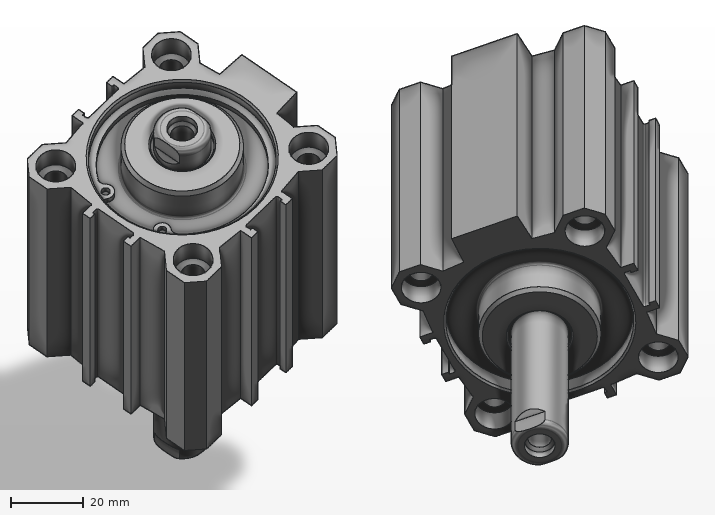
import cadquery as cq
import math


OVERALL_LENGTH = 146.5
HOUSING_HEIGHT = 79.4
ROD_PROTRUSION = 13.5
ROD_TOP = HOUSING_HEIGHT + ROD_PROTRUSION
ROD_BOTTOM = ROD_TOP - OVERALL_LENGTH
MID_HEIGHT = HOUSING_HEIGHT / 2

HALF_WIDTH = 32.5
LUG_CHAMFER = 4.4
LUG_INNER_EDGE = 21.7
WALL_CORNER = (17.0, 27.8)
WALL_MIDDLE = 28.5

PORT_FACE = 37.5
PORT_HALF_TOP = 10.0
PORT_HALF_BASE = 10.4

RAIL_OUTER = 8.8
RAIL_STEM_INNER = 6.7
RAIL_LIP_INNER = 6.0
RAIL_LIP_THICKNESS = 2.0
RAIL_ROOT_RADIUS = 0.6

BORE_DIAMETER = 52.2
BORE_CHAMFER = 0.6
BOLT_OFFSET = 24.9
BOLT_DIAMETER = 6.7
BOLT_HEAD_DIAMETER = 11.0
BOLT_HEAD_DEPTH = 7.0

COVER_RECESS = 5.1
FLANGE_THICKNESS = 11.7
BOSS_DIAMETER = 34.0
BOSS_PROTRUSION = 6.0
BOSS_CHAMFER = 1.0
BOSS_ROOT_RADIUS = 0.7
MOUTH_DIAMETER = 17.7
MOUTH_DEPTH = 1.5
MOUTH_CHAMFER = 0.5

RING_THICKNESS = 1.8
RING_INNER_RADIUS = 23.9
RING_GAP_HALF_ANGLE = 20.5
EAR_X = 10.3
EAR_Y = -20.8
EAR_RADIUS = 2.5
EAR_HOLE_DIAMETER = 2.5
EAR_BLEND_RADIUS = 2.0

ROD_DIAMETER = 16.0
ROD_END_RADIUS = 1.9
FLAT_WIDTH = 13.2
FLAT_LENGTH = 5.4
SOCKET_MOUTH_DIAMETER = 8.5
SOCKET_MOUTH_DEPTH = 2.3
SOCKET_DIAMETER = 6.6
SOCKET_DEPTH = 14.6
DRILL_HALF_ANGLE = 82.0


def mirrored(body):
    """The same shape at the other end of the housing."""
    return body.mirror("XY", (0, 0, MID_HEIGHT))


def housing_profile():
    """Square tube outline: four octagonal lugs joined by slightly crowned walls."""
    lug_outer_edge = HALF_WIDTH - LUG_CHAMFER
    half_side = [
        (lug_outer_edge, HALF_WIDTH),
        (LUG_INNER_EDGE, HALF_WIDTH),
        WALL_CORNER,
        (RAIL_OUTER, WALL_MIDDLE),
    ]
    side = [(-along, out) for along, out in half_side] + half_side[::-1]
    outline = []
    for quarter in range(4):
        cosine = round(math.cos(quarter * math.pi / 2))
        sine = round(math.sin(quarter * math.pi / 2))
        outline += [(along * cosine + out * sine, out * cosine - along * sine) for along, out in side]
    return cq.Workplane("XY").polyline(outline).close().extrude(HOUSING_HEIGHT)


def port_block():
    """Slightly tapered block along the whole +Y wall."""
    outline = [
        (-PORT_HALF_BASE, 0),
        (-PORT_HALF_BASE, WALL_CORNER[1]),
        (-PORT_HALF_TOP, PORT_FACE),
        (PORT_HALF_TOP, PORT_FACE),
        (PORT_HALF_BASE, WALL_CORNER[1]),
        (PORT_HALF_BASE, 0),
    ]
    return cq.Workplane("XY").polyline(outline).close().extrude(HOUSING_HEIGHT)


def rail():
    """One hooked strip on the -Y wall, with its lip turned towards the middle of the wall."""
    lip_start = HALF_WIDTH - RAIL_LIP_THICKNESS
    return (
        cq.Workplane("XY")
        .moveTo(RAIL_OUTER, -WALL_CORNER[1])
        .lineTo(RAIL_OUTER, -HALF_WIDTH)
        .lineTo(RAIL_LIP_INNER, -HALF_WIDTH)
        .lineTo(RAIL_LIP_INNER, -lip_start)
        .lineTo(RAIL_STEM_INNER, -lip_start)
        .lineTo(RAIL_STEM_INNER, -WALL_MIDDLE - RAIL_ROOT_RADIUS)
        .radiusArc((RAIL_STEM_INNER - RAIL_ROOT_RADIUS, -WALL_MIDDLE), -RAIL_ROOT_RADIUS)
        .lineTo(RAIL_STEM_INNER - RAIL_ROOT_RADIUS, -WALL_CORNER[1])
        .close()
        .extrude(HOUSING_HEIGHT)
    )


def make_housing():
    body = housing_profile().union(port_block())
    for wall_angle in (0, 90, -90):
        for strip in (rail(), rail().mirror("YZ")):
            body = body.union(strip.rotate((0, 0, 0), (0, 0, 1), wall_angle))

    bore = cq.Workplane("XY").circle(BORE_DIAMETER / 2).extrude(HOUSING_HEIGHT)
    mouth = (
        cq.Workplane("XY", origin=(0, 0, HOUSING_HEIGHT))
        .circle(BORE_DIAMETER / 2 + BORE_CHAMFER)
        .workplane(offset=-BORE_CHAMFER)
        .circle(BORE_DIAMETER / 2)
        .loft()
    )
    body = body.cut(bore).cut(mouth).cut(mirrored(mouth))

    bolt_centres = [(x, y) for x in (-BOLT_OFFSET, BOLT_OFFSET) for y in (-BOLT_OFFSET, BOLT_OFFSET)]
    bolt_holes = cq.Workplane("XY").pushPoints(bolt_centres).circle(BOLT_DIAMETER / 2).extrude(HOUSING_HEIGHT)
    head_recesses = (
        cq.Workplane("XY")
        .pushPoints(bolt_centres)
        .circle(BOLT_HEAD_DIAMETER / 2)
        .extrude(BOLT_HEAD_DEPTH)
    )
    return body.cut(bolt_holes).cut(head_recesses).cut(mirrored(head_recesses))


def make_cover():
    """Upper end cover: a flange in the bore with a raised boss, both guiding the rod."""
    guide_radius = ROD_DIAMETER / 2
    mouth_radius = MOUTH_DIAMETER / 2
    bore_radius = BORE_DIAMETER / 2
    boss_radius = BOSS_DIAMETER / 2
    flange_top = HOUSING_HEIGHT - COVER_RECESS
    flange_bottom = flange_top - FLANGE_THICKNESS
    boss_top = HOUSING_HEIGHT + BOSS_PROTRUSION
    return (
        cq.Workplane("XZ")
        .moveTo(guide_radius, flange_bottom)
        .lineTo(bore_radius, flange_bottom)
        .lineTo(bore_radius, flange_top)
        .lineTo(boss_radius + BOSS_ROOT_RADIUS, flange_top)
        .radiusArc((boss_radius, flange_top + BOSS_ROOT_RADIUS), BOSS_ROOT_RADIUS)
        .lineTo(boss_radius, boss_top - BOSS_CHAMFER)
        .lineTo(boss_radius - BOSS_CHAMFER, boss_top)
        .lineTo(mouth_radius + MOUTH_CHAMFER, boss_top)
        .lineTo(mouth_radius, boss_top - MOUTH_CHAMFER)
        .lineTo(mouth_radius, boss_top - MOUTH_DEPTH)
        .lineTo(guide_radius, boss_top - MOUTH_DEPTH)
        .close()
        .revolve(360, (0, 0, 0), (0, 1, 0))
    )


def make_retaining_ring():
    """Open ring on the upper cover flange, with a drilled ear on each side of its gap."""
    ring_plane = cq.Workplane("XY", origin=(0, 0, HOUSING_HEIGHT - COVER_RECESS))
    outer_radius = BORE_DIAMETER / 2
    gap_reach = 2 * outer_radius
    gap_half_width = gap_reach * math.tan(math.radians(RING_GAP_HALF_ANGLE))
    ear_centres = [(-EAR_X, EAR_Y), (EAR_X, EAR_Y)]

    band = ring_plane.circle(outer_radius).circle(RING_INNER_RADIUS).extrude(RING_THICKNESS)
    gap = (
        ring_plane.polyline([(0, 0), (-gap_half_width, -gap_reach), (gap_half_width, -gap_reach)])
        .close()
        .extrude(RING_THICKNESS)
    )
    ears = ring_plane.pushPoints(ear_centres).circle(EAR_RADIUS).extrude(RING_THICKNESS)
    ring = band.cut(gap).union(ears)

    ear_distance = math.hypot(EAR_X, EAR_Y)
    cos_spread = (ear_distance**2 + RING_INNER_RADIUS**2 - EAR_RADIUS**2) / (
        2 * ear_distance * RING_INNER_RADIUS
    )
    corner_angle = math.atan2(EAR_X, -EAR_Y) + math.acos(cos_spread)
    corner_x = RING_INNER_RADIUS * math.sin(corner_angle)
    corner_y = -RING_INNER_RADIUS * math.cos(corner_angle)
    corner_z = HOUSING_HEIGHT - COVER_RECESS + RING_THICKNESS / 2
    for side in (-1, 1):
        corner = cq.selectors.NearestToPointSelector((side * corner_x, corner_y, corner_z))
        ring = ring.edges("|Z").edges(corner).fillet(EAR_BLEND_RADIUS)

    holes = ring_plane.pushPoints(ear_centres).circle(EAR_HOLE_DIAMETER / 2).extrude(RING_THICKNESS)
    return ring.cut(holes)


def flat_cutter(end):
    """Cutter above the +Y wrench flat at the upper rod end, running out at 45 degrees."""
    flat_y = FLAT_WIDTH / 2
    reach = ROD_DIAMETER
    flat_end = end - FLAT_LENGTH
    return (
        cq.Workplane("YZ")
        .polyline([(flat_y, end), (flat_y, flat_end), (reach, flat_end - (reach - flat_y)), (reach, end)])
        .close()
        .extrude(ROD_DIAMETER / 2, both=True)
    )


def socket_cutter(end):
    """Stepped blind hole in the upper rod end: wide mouth, 45 degree shoulder and drill point."""
    mouth_radius = SOCKET_MOUTH_DIAMETER / 2
    socket_radius = SOCKET_DIAMETER / 2
    shoulder_depth = SOCKET_MOUTH_DEPTH + mouth_radius - socket_radius
    point_depth = SOCKET_DEPTH + socket_radius / math.tan(math.radians(DRILL_HALF_ANGLE))
    return (
        cq.Workplane("XZ")
        .moveTo(0, end)
        .lineTo(mouth_radius, end)
        .lineTo(mouth_radius, end - SOCKET_MOUTH_DEPTH)
        .lineTo(socket_radius, end - shoulder_depth)
        .lineTo(socket_radius, end - SOCKET_DEPTH)
        .lineTo(0, end - point_depth)
        .close()
        .revolve(360, (0, 0, 0), (0, 1, 0))
    )


def make_rod():
    """Through rod with rounded ends; both ends have two wrench flats and a socket."""
    rod_middle = (ROD_TOP + ROD_BOTTOM) / 2
    rod = (
        cq.Workplane("XY", origin=(0, 0, ROD_BOTTOM))
        .circle(ROD_DIAMETER / 2)
        .extrude(OVERALL_LENGTH)
        .faces("<Z or >Z")
        .edges()
        .fillet(ROD_END_RADIUS)
    )
    flat = flat_cutter(ROD_TOP)
    for cutter in (flat, flat.mirror("XZ"), socket_cutter(ROD_TOP)):
        rod = rod.cut(cutter).cut(cutter.mirror("XY", (0, 0, rod_middle)))
    return rod


housing = make_housing()
upper_cover = make_cover()
lower_cover = mirrored(upper_cover)
retaining_ring = make_retaining_ring()
rod = make_rod()

result = cq.Compound.makeCompound(
    [housing.val(), upper_cover.val(), lower_cover.val(), retaining_ring.val(), rod.val()]
)